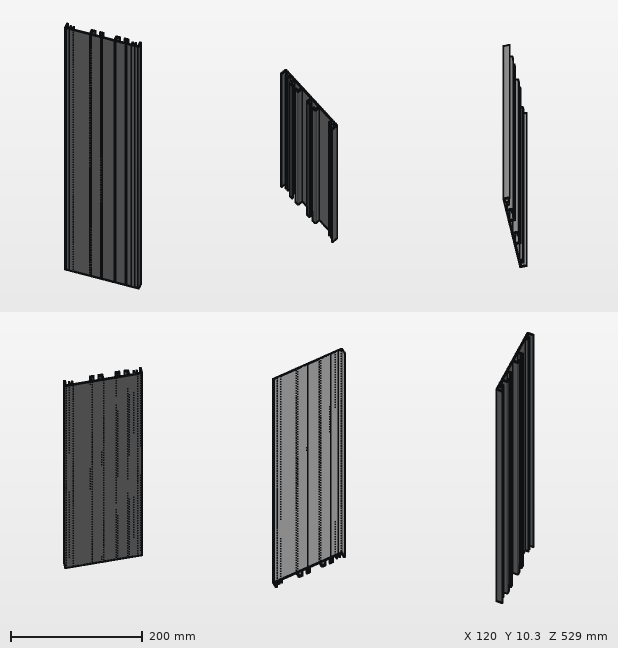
import cadquery as cq

width = 120.0
depth = 10.3
length = 529.0

sheet_thickness = 1.8
side_wall_thickness = 2.0
front_edge_radius = 0.8

channel_offset = 50.2
channel_gap = 3.4
channel_rib_thickness = 1.2
channel_height = 7.0
channel_floor_height = 3.2

rail_pair_width = 20.4
rail_pair_spacing = 40.0
first_pair_centre = -10.0
rail_wall_thickness = 2.5
rail_flange_width = 6.5
rail_flange_thickness = 2.5
rail_outer_radius = 1.5
rail_inner_radius = 0.5

front_y = -depth / 2
back_y = depth / 2
bottom_z = -length / 2


def profile_plane():
    """Plane of the extrusion profile, at the bottom end of the panel."""
    return cq.Workplane("XY", origin=(0, 0, bottom_z))


def bar(x_start, x_end, y_start, y_end):
    """Full-length rectangular bar between two X and two Y limits."""
    return (
        profile_plane()
        .moveTo(x_start, y_start)
        .lineTo(x_end, y_start)
        .lineTo(x_end, y_end)
        .lineTo(x_start, y_end)
        .close()
        .extrude(length)
    )


def sheet_with_side_walls():
    """U-shaped tray with its two front corners rounded."""
    tray = bar(-width / 2, width / 2, front_y, back_y)
    tray = tray.edges("|Z and <Y").fillet(front_edge_radius)
    inner_half_width = width / 2 - side_wall_thickness
    return tray.cut(bar(-inner_half_width, inner_half_width, front_y + sheet_thickness, back_y))


def screw_channel(centre_x):
    """Two ribs joined by a half-round groove floor."""
    groove_radius = channel_gap / 2
    outer_half_width = groove_radius + channel_rib_thickness
    groove_centre_y = front_y + channel_floor_height + groove_radius
    block = bar(
        centre_x - outer_half_width,
        centre_x + outer_half_width,
        front_y,
        front_y + channel_height,
    )
    slot = bar(centre_x - groove_radius, centre_x + groove_radius, groove_centre_y, back_y)
    bore = profile_plane().center(centre_x, groove_centre_y).circle(groove_radius).extrude(length)
    return block.cut(slot).cut(bore)


def hooked_rail(outer_x, inward):
    """Upright wall whose back edge turns into a flange along inward (+1 or -1 in X)."""
    wall_x = outer_x + inward * rail_wall_thickness
    tip_x = outer_x + inward * rail_flange_width
    flange_y = back_y - rail_flange_thickness
    outer_bend_end = (outer_x + inward * rail_outer_radius, back_y)
    inner_bend_end = (wall_x, flange_y - rail_inner_radius)
    return (
        profile_plane()
        .moveTo(outer_x, front_y)
        .lineTo(outer_x, back_y - rail_outer_radius)
        .tangentArcPoint(outer_bend_end, relative=False)
        .lineTo(tip_x, back_y)
        .lineTo(tip_x, flange_y)
        .lineTo(wall_x + inward * rail_inner_radius, flange_y)
        .tangentArcPoint(inner_bend_end, relative=False)
        .lineTo(wall_x, front_y)
        .close()
        .extrude(length)
    )


panel = sheet_with_side_walls()

for side in (-1, 1):
    panel = panel.union(screw_channel(side * channel_offset))

for pair_index in range(2):
    pair_centre = first_pair_centre + pair_index * rail_pair_spacing
    for side in (-1, 1):
        panel = panel.union(hooked_rail(pair_centre + side * rail_pair_width / 2, -side))

result = panel